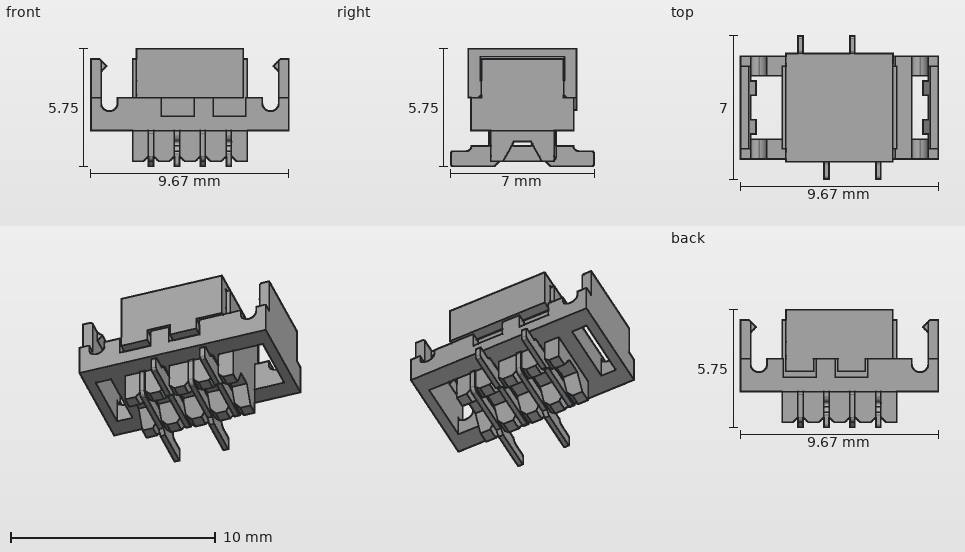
import cadquery as cq


LENGTH = 9.67
BASE_WIDTH = 5.03
BASE_BOTTOM = 1.75
BASE_TOP = 3.365
WINDOW_WIDTH = 3.09

CORE_LENGTH = 5.61
TONGUE_WIDTH = 4.02
TONGUE_TOP = 5.26
POST_WIDTH = 3.09
POST_BOTTOM = 0.25
POST_NOTCH_DEPTH = 0.97
POST_NOTCH_MOUTH = 1.9
POST_NOTCH_ROOF = 0.81
SLOT_CHAMFER = 0.24

WALL_THICKNESS = 0.5
WALL_CHAMFER = 0.1
LATCH_REACH = 0.26
LATCH_WIDTH = 0.71
LATCH_SPACING = 1.9
GROOVE_WIDTH = 0.79
GROOVE_DEPTH = 0.66
GROOVE_ROUND = 0.39

CAP_LENGTH = 5.22
CAP_WIDTH = 5.3
CAP_TOP = 5.75
CAP_ROOF = 0.41
CAP_CLEARANCE = 0.04
CAP_LIP_TOP = 4.19
CAP_LIP_CHAMFER = 0.14
TAB_WIDTH = 1.35
TAB_BOTTOM = 2.75

PIN_PITCH = 1.27
PIN_THICKNESS = 0.25
PIN_REACH = 3.5
PIN_BAR_TOP = 1.01
PIN_ROUND = 0.25
FOOT_TOP = PIN_BAR_TOP - PIN_ROUND
FOOT_HEEL = 1.37
FOOT_STEP = 2.495
FOOT_ROUND = 0.13
LEG_FACE = 1.64
LEG_TOP = 1.88
RELIEF_RADIUS = 0.13
RELIEF_Y = -0.37

POCKET_WIDTH = 1.6
POCKET_FLOOR = 2.46
POCKET_OFFSET = 0.04

pin_places = [(i - 1.5) * PIN_PITCH for i in range(4)]
pocket_places = [x + POCKET_OFFSET for x in pin_places[1::2]]
wall_inner = LENGTH / 2 - WALL_THICKNESS
groove_inner = wall_inner - GROOVE_WIDTH


def box(x_range, y_range, z_range):
    """Axis-aligned block between the given limits."""
    lows, highs = zip(x_range, y_range, z_range)
    size = [high - low for low, high in zip(lows, highs)]
    return cq.Workplane("XY").box(*size, centered=False).translate(lows)


def centred(size, middle=0.0):
    """Limits of a span of the given size about its middle."""
    return middle - size / 2, middle + size / 2


def prism_along_x(points, length):
    """Outline of (y, z) points extruded symmetrically along X."""
    return cq.Workplane("YZ").polyline(points).close().extrude(length / 2, both=True)


def prism_along_y(points, width):
    """Outline of (x, z) points extruded symmetrically along Y."""
    return cq.Workplane("XZ").polyline(points).close().extrude(width / 2, both=True)


def end_wall():
    """Wall at the +X end, with its top inner edge bevelled and two latch bumps."""
    outer = LENGTH / 2
    bevel_bottom = TONGUE_TOP - WALL_CHAMFER
    wall = prism_along_y(
        [
            (outer, BASE_BOTTOM),
            (outer, TONGUE_TOP),
            (wall_inner + WALL_CHAMFER, TONGUE_TOP),
            (wall_inner, bevel_bottom),
            (wall_inner, BASE_BOTTOM),
        ],
        TONGUE_WIDTH,
    )
    bump = prism_along_y(
        [
            (wall_inner, bevel_bottom),
            (wall_inner - LATCH_REACH, bevel_bottom - LATCH_REACH),
            (wall_inner, bevel_bottom - 2 * LATCH_REACH),
        ],
        LATCH_WIDTH,
    )
    for y in centred(LATCH_SPACING):
        wall = wall.union(bump.translate((0, y, 0)))
    return wall


def groove():
    """Groove with rounded bottom corners across the base beside the +X wall."""
    return (
        box((groove_inner, wall_inner), centred(BASE_WIDTH), (BASE_TOP - GROOVE_DEPTH, BASE_TOP))
        .edges("|Y and <Z")
        .fillet(GROOVE_ROUND)
    )


def post():
    """Post under the base, with a tapered notch along X and a slot for each pin."""
    body = box(centred(CORE_LENGTH), centred(POST_WIDTH), (POST_BOTTOM, BASE_BOTTOM))
    notch_roof = POST_BOTTOM + POST_NOTCH_DEPTH
    notch = prism_along_x(
        [
            (-POST_NOTCH_MOUTH / 2, POST_BOTTOM),
            (-POST_NOTCH_ROOF / 2, notch_roof),
            (POST_NOTCH_ROOF / 2, notch_roof),
            (POST_NOTCH_MOUTH / 2, POST_BOTTOM),
        ],
        CORE_LENGTH,
    )
    half_slot = PIN_THICKNESS / 2
    slot = prism_along_y(
        [
            (-half_slot - SLOT_CHAMFER, POST_BOTTOM),
            (-half_slot, POST_BOTTOM + SLOT_CHAMFER),
            (-half_slot, BASE_BOTTOM),
            (half_slot, BASE_BOTTOM),
            (half_slot, POST_BOTTOM + SLOT_CHAMFER),
            (half_slot + SLOT_CHAMFER, POST_BOTTOM),
        ],
        POST_WIDTH,
    )
    body = body.cut(notch)
    for x in pin_places:
        body = body.cut(slot.translate((x, 0, 0)))
    return body


def make_housing(pins):
    """Base with tongue, post, end walls, windows, pockets and seats for the pins."""
    body = box(centred(LENGTH), centred(BASE_WIDTH), (BASE_BOTTOM, BASE_TOP))
    base_span = (BASE_BOTTOM, BASE_TOP)
    body = body.cut(box((-wall_inner, -CORE_LENGTH / 2), centred(WINDOW_WIDTH), base_span))
    body = body.cut(box((groove_inner, wall_inner), centred(WINDOW_WIDTH), base_span))

    for x in pocket_places:
        for side in (-1, 1):
            y_range = sorted((side * TONGUE_WIDTH / 2, side * BASE_WIDTH / 2))
            body = body.cut(box(centred(POCKET_WIDTH, x), y_range, (POCKET_FLOOR, BASE_TOP)))

    body = body.cut(groove()).cut(groove().mirror("YZ"))
    body = body.union(end_wall()).union(end_wall().mirror("YZ"))
    body = body.union(box(centred(CORE_LENGTH), centred(TONGUE_WIDTH), (BASE_TOP, TONGUE_TOP)))
    body = body.union(post())
    for pin in pins:
        body = body.cut(pin)
    return body


def make_cap():
    """Channel-shaped cap gripping the tongue, with tabs down into the +Y pockets."""
    body = box(centred(CAP_LENGTH), centred(CAP_WIDTH), (BASE_TOP, CAP_TOP))
    grip = TONGUE_WIDTH / 2
    mouth = grip + CAP_LIP_CHAMFER
    half_profile = [
        (mouth, BASE_TOP),
        (grip, BASE_TOP + CAP_LIP_CHAMFER),
        (grip, CAP_LIP_TOP),
        (grip + CAP_CLEARANCE, CAP_LIP_TOP),
        (grip + CAP_CLEARANCE, CAP_TOP - CAP_ROOF),
    ]
    other_half = [(-y, z) for y, z in reversed(half_profile)]
    body = body.cut(prism_along_x(half_profile + other_half, CAP_LENGTH))
    for x in pocket_places:
        body = body.union(box(centred(TAB_WIDTH, x), (mouth, CAP_WIDTH / 2), (TAB_BOTTOM, BASE_TOP)))
    return body


def make_pin():
    """Flat pin with its foot toward +Y and its leg rising on the -Y side."""
    relief_top = PIN_BAR_TOP + 2 * RELIEF_RADIUS
    return (
        cq.Workplane("YZ")
        .moveTo(FOOT_HEEL, 0)
        .lineTo(PIN_REACH - FOOT_ROUND, 0)
        .radiusArc((PIN_REACH, FOOT_ROUND), -FOOT_ROUND)
        .lineTo(PIN_REACH, FOOT_TOP - FOOT_ROUND)
        .radiusArc((PIN_REACH - FOOT_ROUND, FOOT_TOP), -FOOT_ROUND)
        .lineTo(FOOT_STEP + PIN_ROUND, FOOT_TOP)
        .radiusArc((FOOT_STEP, PIN_BAR_TOP), PIN_ROUND)
        .lineTo(RELIEF_Y, PIN_BAR_TOP)
        .threePointArc((RELIEF_Y - RELIEF_RADIUS, PIN_BAR_TOP + RELIEF_RADIUS), (RELIEF_Y, relief_top))
        .radiusArc((RELIEF_Y + PIN_ROUND, relief_top + PIN_ROUND), -PIN_ROUND)
        .lineTo(RELIEF_Y + PIN_ROUND, LEG_TOP)
        .lineTo(-LEG_FACE + PIN_ROUND, LEG_TOP)
        .radiusArc((-LEG_FACE, LEG_TOP - PIN_ROUND), -PIN_ROUND)
        .lineTo(-LEG_FACE, POST_BOTTOM + PIN_ROUND)
        .radiusArc((-LEG_FACE + PIN_ROUND, POST_BOTTOM), -PIN_ROUND)
        .lineTo(FOOT_HEEL - POST_BOTTOM, POST_BOTTOM)
        .close()
        .extrude(PIN_THICKNESS / 2, both=True)
    )


def make_pins():
    """Row of pins whose feet point alternately toward +Y and -Y."""
    row = []
    for index, x in enumerate(pin_places):
        turn = 180 * (index % 2)
        row.append(make_pin().rotate((0, 0, 0), (0, 0, 1), turn).translate((x, 0, 0)))
    return row


pins = make_pins()
housing = make_housing(pins)
cap = make_cap()

result = cq.Compound.makeCompound([housing.val(), cap.val(), *[pin.val() for pin in pins]])